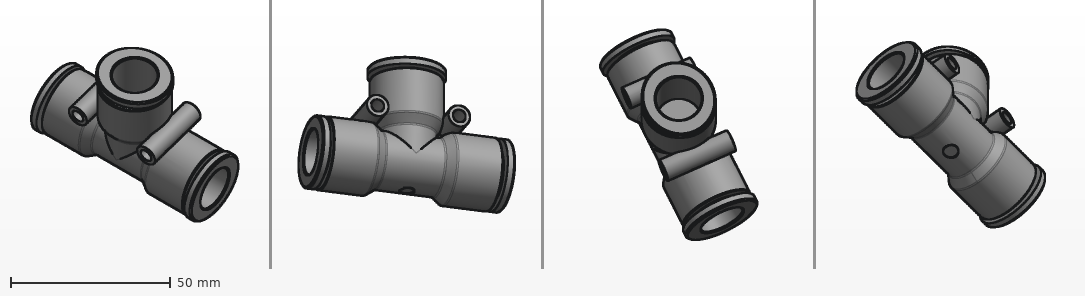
import cadquery as cq
import math

reach = 31.9
body_radius = 11.75
core_radius = 9.45
body_rim_chamfer = 0.25

cone_start = 9.8
cone_end = 13.1
cone_blend_radius = 0.95

collar_thickness = 2.55
collar_gap = 1.35
collar_width = 25.0
collar_height = 22.95
collar_chamfer = 0.5
neck_radius = 8.55
body_end = reach - collar_thickness - collar_gap

socket_radius = 7.2
socket_chamfer = 0.4
socket_depth = 19.15

mount_offset = 13.5
mount_radius = 3.6
mount_hole_radius = 2.1
mount_length = 2 * body_radius

web_thickness = 1.3
web_width = 3.8

recess_radius = 2.4
recess_depth = 0.5


def make_branch():
    """One branch along +Z: core, shoulder cone, body and neck, with the oval collar on top."""
    core = cq.Workplane("XY").circle(core_radius).extrude(cone_start)
    cone = (
        cq.Workplane("XY", origin=(0, 0, cone_start))
        .circle(core_radius)
        .workplane(offset=cone_end - cone_start)
        .circle(body_radius)
        .loft(ruled=True)
    )
    body = (
        cq.Workplane("XY", origin=(0, 0, cone_end))
        .circle(body_radius)
        .extrude(body_end - cone_end)
        .faces(">Z")
        .chamfer(body_rim_chamfer)
    )
    shell = core.union(cone).union(body)
    for height in (cone_start, cone_end):
        blend_edge = cq.selectors.NearestToPointSelector((0, 0, height))
        shell = shell.edges(blend_edge).fillet(cone_blend_radius)

    neck = cq.Workplane("XY", origin=(0, 0, body_end)).circle(neck_radius).extrude(collar_gap)
    collar = (
        cq.Workplane("XY", origin=(0, 0, reach - collar_thickness))
        .ellipse(collar_height / 2, collar_width / 2)
        .extrude(collar_thickness)
        .faces(">Z")
        .chamfer(collar_chamfer)
    )
    return shell.union(neck).union(collar)


def make_socket():
    """Blind tube socket along +Z, flared at the mouth."""
    socket_floor = reach - socket_depth
    bore = cq.Workplane("XY", origin=(0, 0, socket_floor)).circle(socket_radius).extrude(socket_depth)
    flare = (
        cq.Workplane("XY", origin=(0, 0, reach - socket_chamfer))
        .circle(socket_radius)
        .workplane(offset=socket_chamfer)
        .circle(socket_radius + socket_chamfer)
        .loft(ruled=True)
    )
    return bore.union(flare)


def on_run(shape, side):
    """Turn a shape from +Z onto the X axis, on the side given by its sign."""
    return shape.rotate((0, 0, 0), (0, 1, 0), side * 90)


def mount_cylinder(radius, side):
    """Cylinder along Y through one of the two mounting positions."""
    return (
        cq.Workplane("XZ", origin=(0, mount_length / 2, 0))
        .center(side * mount_offset, mount_offset)
        .circle(radius)
        .extrude(mount_length)
    )


def make_web(side):
    """Diagonal web in the XZ plane from the centre of the tee to one mounting tube."""
    web_length = mount_offset * math.sqrt(2)
    web = cq.Workplane("XY").box(web_width, web_thickness, web_length, centered=(True, True, False))
    return web.rotate((0, 0, 0), (0, 1, 0), side * 45)


run_branch = make_branch()
socket = make_socket()

side_branch = run_branch.rotate((0, 0, 0), (0, 0, 1), 90)

tee = on_run(run_branch, -1).union(on_run(run_branch, 1)).union(side_branch)
for side in (-1, 1):
    tee = tee.union(mount_cylinder(mount_radius, side)).union(make_web(side))

tee = tee.cut(socket)
for side in (-1, 1):
    tee = tee.cut(on_run(socket, side)).cut(mount_cylinder(mount_hole_radius, side))

recess = cq.Workplane("XY", origin=(0, 0, -core_radius)).circle(recess_radius).extrude(recess_depth)
result = tee.cut(recess)